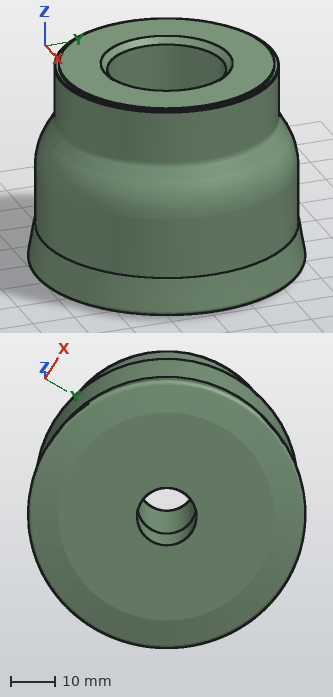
import cadquery as cq
import math

TOTAL_HEIGHT = 50.0
FACE_STEP = 0.45
NECK_BOTTOM = 36.85
SHOULDER_BOTTOM = 24.7
FOOT_TOP = 10.1
FOOT_RIM_HEIGHT = 1.4

FACE_DIA = 49.0
NECK_DIA = 51.0
BARREL_DIA = 59.85
FOOT_TOP_DIA = 60.4
FOOT_RIM_DIA = 63.3
FOOT_BASE_DIA = 49.0

NECK_EDGE_CHAMFER = 0.2
SHOULDER_SLOPE = math.radians(55)
NECK_BLEND_RADIUS = 2.5
SHOULDER_RADIUS = 14.5

FOOT_TOP_ROUND = 0.3
FOOT_RIM_ROUND = 1.0

BORE_DIA = 27.0
BORE_MOUTH_DIA = 30.0
BORE_MOUTH_DEPTH = 1.5
BORE_DEPTH = 20.0
BORE_FLOOR_CHAMFER = 0.5
THROUGH_DIA = 13.5


def arc_point(center, radius, angle):
    """Point (r, z) on a circle in the profile plane."""
    return (center[0] + radius * math.cos(angle), center[1] + radius * math.sin(angle))


def revolve_profile(profile):
    """Turn a closed (r, z) profile a full turn about the Z axis."""
    return profile.close().revolve(360, (0, 0, 0), (0, 1, 0))


def make_housing():
    """Turned upper body with a neck, a domed shoulder and a stepped bore."""
    neck_r = NECK_DIA / 2
    barrel_r = BARREL_DIA / 2
    bore_r = BORE_DIA / 2
    through_r = THROUGH_DIA / 2
    neck_top = TOTAL_HEIGHT - FACE_STEP
    bore_floor = TOTAL_HEIGHT - BORE_DEPTH

    normal = math.pi / 2 - SHOULDER_SLOPE
    dome_center = (barrel_r - SHOULDER_RADIUS, SHOULDER_BOTTOM)
    dome_middle = arc_point(dome_center, SHOULDER_RADIUS, normal / 2)
    dome_end = arc_point(dome_center, SHOULDER_RADIUS, normal)
    blend_center = (neck_r + NECK_BLEND_RADIUS, NECK_BOTTOM)
    blend_start = arc_point(blend_center, NECK_BLEND_RADIUS, math.pi + normal)
    blend_middle = arc_point(blend_center, NECK_BLEND_RADIUS, math.pi + normal / 2)

    profile = (
        cq.Workplane("XZ")
        .moveTo(through_r, FOOT_TOP)
        .lineTo(barrel_r, FOOT_TOP)
        .lineTo(barrel_r, SHOULDER_BOTTOM)
        .threePointArc(dome_middle, dome_end)
        .lineTo(*blend_start)
        .threePointArc(blend_middle, (neck_r, NECK_BOTTOM))
        .lineTo(neck_r, neck_top - NECK_EDGE_CHAMFER)
        .lineTo(neck_r - NECK_EDGE_CHAMFER, neck_top)
        .lineTo(FACE_DIA / 2, neck_top)
        .lineTo(FACE_DIA / 2, TOTAL_HEIGHT)
        .lineTo(BORE_MOUTH_DIA / 2, TOTAL_HEIGHT)
        .lineTo(bore_r, TOTAL_HEIGHT - BORE_MOUTH_DEPTH)
        .lineTo(bore_r, bore_floor + BORE_FLOOR_CHAMFER)
        .lineTo(bore_r - BORE_FLOOR_CHAMFER, bore_floor)
        .lineTo(through_r, bore_floor)
    )
    return revolve_profile(profile)


def make_foot():
    """Flared ring under the housing, with rounded edges and a raised lower rim."""
    through_r = THROUGH_DIA / 2
    profile = (
        cq.Workplane("XZ")
        .moveTo(through_r, 0)
        .lineTo(FOOT_BASE_DIA / 2, 0)
        .lineTo(FOOT_RIM_DIA / 2, FOOT_RIM_HEIGHT)
        .lineTo(FOOT_TOP_DIA / 2, FOOT_TOP)
        .lineTo(through_r, FOOT_TOP)
    )
    foot = revolve_profile(profile)
    outermost = cq.selectors.RadiusNthSelector(-1)
    foot = foot.edges(outermost).fillet(FOOT_RIM_ROUND)
    return foot.faces(">Z").edges(outermost).fillet(FOOT_TOP_ROUND)


housing = make_housing()
foot = make_foot()

result = cq.Compound.makeCompound([housing.val(), foot.val()])